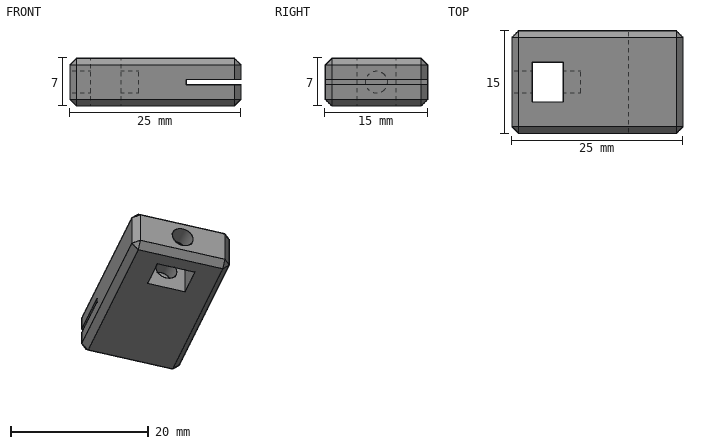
import cadquery as cq

length = 25.0
width = 15.0
height = 7.0
edge_chamfer = 1.0

window_length = 4.5
window_width = 5.75
window_offset = 3.0

bore_diameter = 3.2
bore_depth = 10.0

slot_depth = 8.0
slot_height = 0.7

left_face = -length / 2
right_face = length / 2


def make_body():
    return cq.Workplane("XY").box(length, width, height).edges().chamfer(edge_chamfer)


def make_window():
    center_x = left_face + window_offset + window_length / 2
    return cq.Workplane("XY").box(window_length, window_width, height).translate((center_x, 0, 0))


def make_bore():
    bore_start = cq.Workplane("YZ").workplane(offset=left_face)
    return bore_start.circle(bore_diameter / 2).extrude(bore_depth)


def make_slot():
    center_x = right_face - slot_depth / 2
    return cq.Workplane("XY").box(slot_depth, width, slot_height).translate((center_x, 0, 0))


result = make_body().cut(make_window()).cut(make_bore()).cut(make_slot())